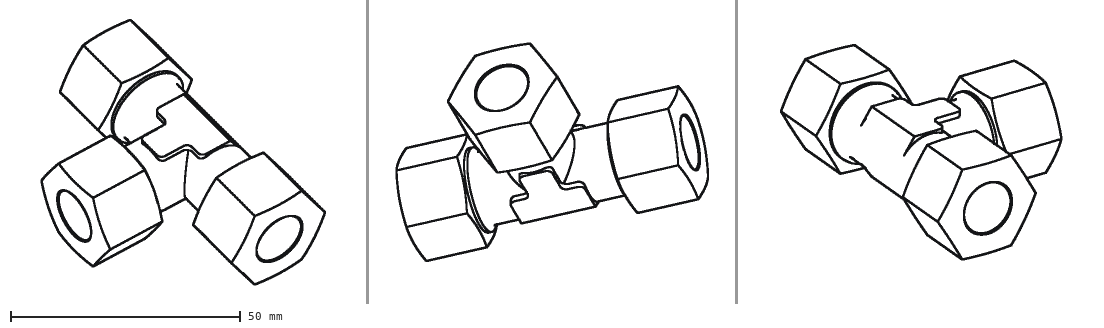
import cadquery as cq
import math

END_DISTANCE = 32.0
BODY_RADIUS = 16.32 / 2
BORE_RADIUS = 10.8 / 2

TUBE_RADIUS = 12.0 / 2
SOCKET_DEPTH = 15.0
MOUTH_CHAMFER = 0.25

NUT_ACROSS_FLATS = 22.0
NUT_LENGTH = 15.0
NUT_CHAMFER_ANGLE = 15.0
NUT_FACE_RADIUS = 10.99

COLLAR_RADIUS = 18.92 / 2
COLLAR_LENGTH = 0.75
COLLAR_CONE_ANGLE = 65.0
COLLAR_FILLET = 0.8

PAD_HEIGHT = 8.6
PAD_HALF_WIDTH = 8.6
PAD_SHOULDER_Y = -3.9
PAD_STEM_HALF_WIDTH = 3.8
PAD_STEM_END_Y = -11.5
PAD_CORNER_RADIUS = 1.3
PAD_SLOPE_ANGLE = 35.0

NUT_INNER_END = END_DISTANCE - NUT_LENGTH


def make_body_arm():
    """Cylindrical arm with its flared collar, along +Z from the tee centre."""
    slope = math.radians(COLLAR_CONE_ANGLE)
    collar_start = NUT_INNER_END - COLLAR_LENGTH
    cone_foot_radius = BODY_RADIUS + COLLAR_FILLET * (1 - math.cos(slope))
    cone_foot = collar_start - (COLLAR_RADIUS - cone_foot_radius) / math.tan(slope)
    fillet_start = cone_foot - COLLAR_FILLET * math.sin(slope)
    fillet_middle = (
        BODY_RADIUS + COLLAR_FILLET * (1 - math.cos(slope / 2)),
        fillet_start + COLLAR_FILLET * math.sin(slope / 2),
    )
    return (
        cq.Workplane("XZ")
        .lineTo(BODY_RADIUS, 0)
        .lineTo(BODY_RADIUS, fillet_start)
        .threePointArc(fillet_middle, (cone_foot_radius, cone_foot))
        .lineTo(COLLAR_RADIUS, collar_start)
        .lineTo(COLLAR_RADIUS, NUT_INNER_END)
        .lineTo(0, NUT_INNER_END)
        .close()
        .revolve(360, (0, 0), (0, 1))
    )


def make_nut():
    """Hexagon nut along +Z, chamfered at both ends, with flats facing +Y and -Y before placement."""
    corner_radius = NUT_ACROSS_FLATS / math.sqrt(3)
    chamfer_depth = (corner_radius - NUT_FACE_RADIUS) * math.tan(math.radians(NUT_CHAMFER_ANGLE))
    hexagon = (
        cq.Workplane("XY", origin=(0, 0, NUT_INNER_END))
        .polygon(6, 2 * corner_radius)
        .extrude(NUT_LENGTH)
    )
    envelope = (
        cq.Workplane("XZ")
        .moveTo(0, NUT_INNER_END)
        .lineTo(NUT_FACE_RADIUS, NUT_INNER_END)
        .lineTo(corner_radius, NUT_INNER_END + chamfer_depth)
        .lineTo(corner_radius, END_DISTANCE - chamfer_depth)
        .lineTo(NUT_FACE_RADIUS, END_DISTANCE)
        .lineTo(0, END_DISTANCE)
        .close()
        .revolve(360, (0, 0), (0, 1))
    )
    return hexagon.intersect(envelope)


def make_bore():
    """Through bore, tube socket and mouth chamfer of one arm, along +Z."""
    socket_floor = END_DISTANCE - SOCKET_DEPTH
    return (
        cq.Workplane("XZ")
        .lineTo(BORE_RADIUS, 0)
        .lineTo(BORE_RADIUS, socket_floor)
        .lineTo(TUBE_RADIUS, socket_floor)
        .lineTo(TUBE_RADIUS, END_DISTANCE - MOUTH_CHAMFER)
        .lineTo(TUBE_RADIUS + MOUTH_CHAMFER, END_DISTANCE)
        .lineTo(0, END_DISTANCE)
        .close()
        .revolve(360, (0, 0), (0, 1))
    )


def make_pads():
    """Upper and lower wrench pads as one T-shaped block with sloped rear faces."""
    slope = math.radians(PAD_SLOPE_ANGLE)
    tangent_y = BODY_RADIUS * math.cos(slope)
    tangent_z = BODY_RADIUS * math.sin(slope)
    flat_edge_y = (BODY_RADIUS - PAD_HEIGHT * math.sin(slope)) / math.cos(slope)

    tee = (
        cq.Workplane("XY", origin=(0, 0, -PAD_HEIGHT))
        .moveTo(-PAD_HALF_WIDTH, tangent_y)
        .lineTo(-PAD_HALF_WIDTH, PAD_SHOULDER_Y)
        .lineTo(-PAD_STEM_HALF_WIDTH, PAD_SHOULDER_Y)
        .lineTo(-PAD_STEM_HALF_WIDTH, PAD_STEM_END_Y)
        .lineTo(PAD_STEM_HALF_WIDTH, PAD_STEM_END_Y)
        .lineTo(PAD_STEM_HALF_WIDTH, PAD_SHOULDER_Y)
        .lineTo(PAD_HALF_WIDTH, PAD_SHOULDER_Y)
        .lineTo(PAD_HALF_WIDTH, tangent_y)
        .close()
        .extrude(2 * PAD_HEIGHT)
        .edges("|Z and (not >Y)")
        .fillet(PAD_CORNER_RADIUS)
    )
    side_profile = (
        cq.Workplane("YZ")
        .moveTo(PAD_STEM_END_Y, PAD_HEIGHT)
        .lineTo(flat_edge_y, PAD_HEIGHT)
        .lineTo(tangent_y, tangent_z)
        .lineTo(tangent_y, -tangent_z)
        .lineTo(flat_edge_y, -PAD_HEIGHT)
        .lineTo(PAD_STEM_END_Y, -PAD_HEIGHT)
        .close()
        .extrude(PAD_HALF_WIDTH, both=True)
    )
    return tee.intersect(side_profile)


def place_on_arms(shape):
    """Copies of a shape built along +Z, turned onto the -Y, +X and -X arms."""
    branch = shape.rotate((0, 0, 0), (1, 0, 0), 90)
    return [branch.rotate((0, 0, 0), (0, 0, 1), turn) for turn in (0, 90, -90)]


def make_tee():
    """Complete tee fitting: body, pads and nuts, with the bores cut last."""
    tee = make_pads()
    for part in place_on_arms(make_body_arm()) + place_on_arms(make_nut()):
        tee = tee.union(part)
    for bore in place_on_arms(make_bore()):
        tee = tee.cut(bore)
    return tee


result = make_tee()